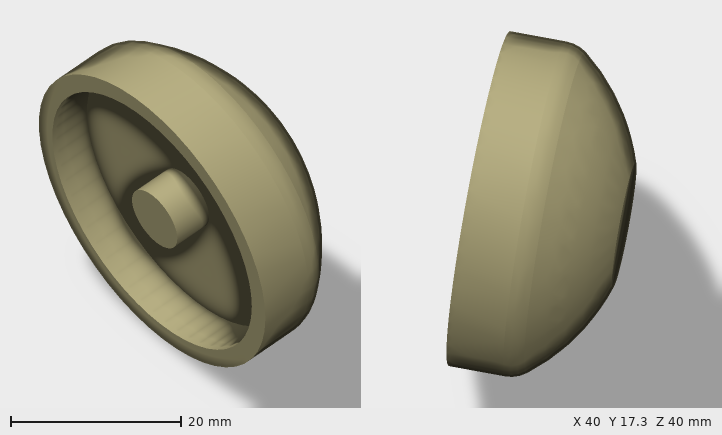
import cadquery as cq
import math

outer_diameter = 40.0
total_depth = 17.3
flat_diameter = 15.0

wall_depth = 6.8
shoulder_radius = 3.8
shoulder_sweep = math.radians(38)

recess_diameter = 35.2
recess_depth = 5.4
pin_diameter = 8.0
pin_length = 5.0


def shoulder_point(angle):
    """Point (radius, depth) on the shoulder arc, with the angle measured from the wall."""
    center_radius = outer_diameter / 2 - shoulder_radius
    return (
        center_radius + shoulder_radius * math.cos(angle),
        wall_depth + shoulder_radius * math.sin(angle),
    )


def make_body():
    """Revolve the outer half-profile about the Y axis."""
    outer_radius = outer_diameter / 2
    return (
        cq.Workplane("XY")
        .lineTo(outer_radius, 0)
        .lineTo(outer_radius, wall_depth)
        .threePointArc(shoulder_point(shoulder_sweep / 2), shoulder_point(shoulder_sweep))
        .tangentArcPoint((flat_diameter / 2, total_depth), relative=False)
        .lineTo(0, total_depth)
        .close()
        .revolve(360, (0, 0, 0), (0, 1, 0))
    )


def make_cylinder(diameter, start, length):
    """Cylinder on the Y axis running from start towards +Y."""
    return cq.Workplane("XZ", origin=(0, start, 0)).circle(diameter / 2).extrude(-length)


recess = make_cylinder(recess_diameter, 0, recess_depth)
pin = make_cylinder(pin_diameter, recess_depth - pin_length, pin_length)
result = make_body().cut(recess).union(pin)